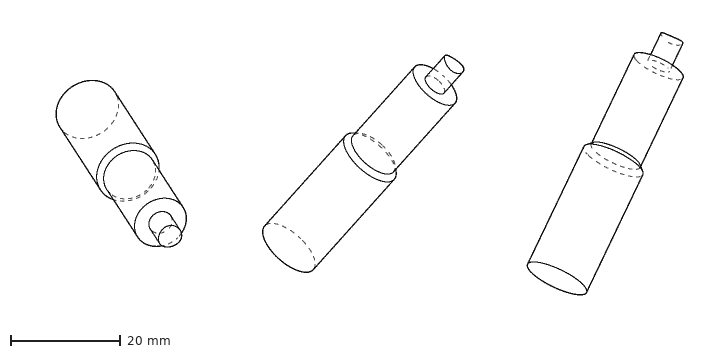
import cadquery as cq

overall_length = 50.9
body_diameter = 12.0
neck_diameter = 10.0
pin_diameter = 4.5
body_length = 25.0
shoulder_length = 45.0
tip_radius = 7.15

butt_x = -overall_length / 2
tip_x = overall_length / 2
shoulder_x = butt_x + shoulder_length
body_radius = body_diameter / 2
neck_radius = neck_diameter / 2
taper_start_x = butt_x + body_length
taper_end_x = taper_start_x + body_radius - neck_radius


def make_housing():
    """Solid stepped shaft: body, conical taper and neck, revolved about X."""
    half_profile = [
        (butt_x, 0),
        (butt_x, body_radius),
        (taper_start_x, body_radius),
        (taper_end_x, neck_radius),
        (shoulder_x, neck_radius),
        (shoulder_x, 0),
    ]
    return cq.Workplane("XY").polyline(half_profile).close().revolve(360, (0, 0, 0), (1, 0, 0))


def make_pin():
    """Round pin standing on the shoulder, its end crowned by a cylinder along Y."""
    shank = (
        cq.Workplane("YZ", origin=(shoulder_x, 0, 0))
        .circle(pin_diameter / 2)
        .extrude(tip_x - shoulder_x)
    )
    crown = (
        cq.Workplane("XZ")
        .center(tip_x - tip_radius, 0)
        .circle(tip_radius)
        .extrude(pin_diameter, both=True)
    )
    return shank.intersect(crown)


housing = make_housing()
pin = make_pin()

result = cq.Compound.makeCompound([housing.val(), *pin.vals()])